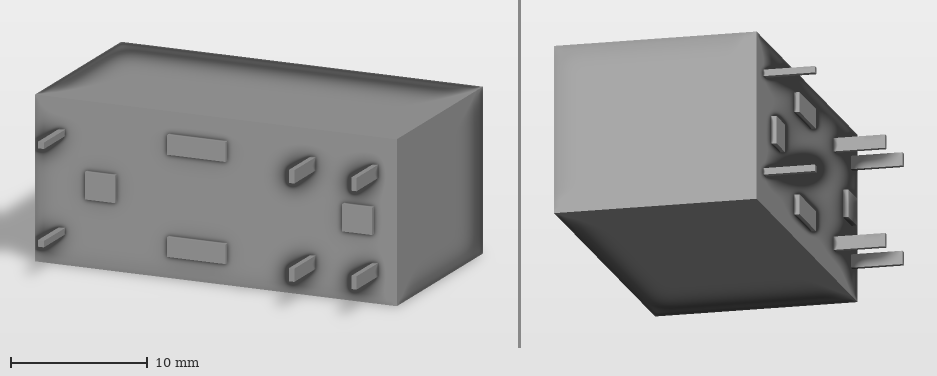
import cadquery as cq

body_length = 29.0
body_height = 12.7
total_depth = 19.2
pin_length = 3.9
body_depth = total_depth - pin_length

pin_row_z = 3.75
coil_pin_x = -12.3
coil_pin_side = 0.5
contact_pin_xs = (7.83, 12.82)
contact_pin_width = 0.4
contact_pin_height = 1.02

pad_thickness = 0.4
end_pad_xs = (-9.14, 11.5)
end_pad_width = 2.4
end_pad_height = 2.1
long_pad_x = -1.4
long_pad_z = 3.9
long_pad_width = 4.7
long_pad_height = 1.5


def face_block(x, z, width, height, length):
    """Rectangular block standing out from the pin face (Y = 0) toward -Y."""
    block = cq.Workplane("XY").box(width, length, height, centered=(True, False, True))
    return block.translate((x, -length, z))


result = cq.Workplane("XY").box(body_length, body_depth, body_height, centered=(True, False, True))

for x in end_pad_xs:
    result = result.union(face_block(x, 0, end_pad_width, end_pad_height, pad_thickness))

for side in (-1, 1):
    pin_z = side * pin_row_z
    result = result.union(
        face_block(long_pad_x, side * long_pad_z, long_pad_width, long_pad_height, pad_thickness)
    )
    result = result.union(face_block(coil_pin_x, pin_z, coil_pin_side, coil_pin_side, pin_length))
    for x in contact_pin_xs:
        result = result.union(
            face_block(x, pin_z, contact_pin_width, contact_pin_height, pin_length)
        )